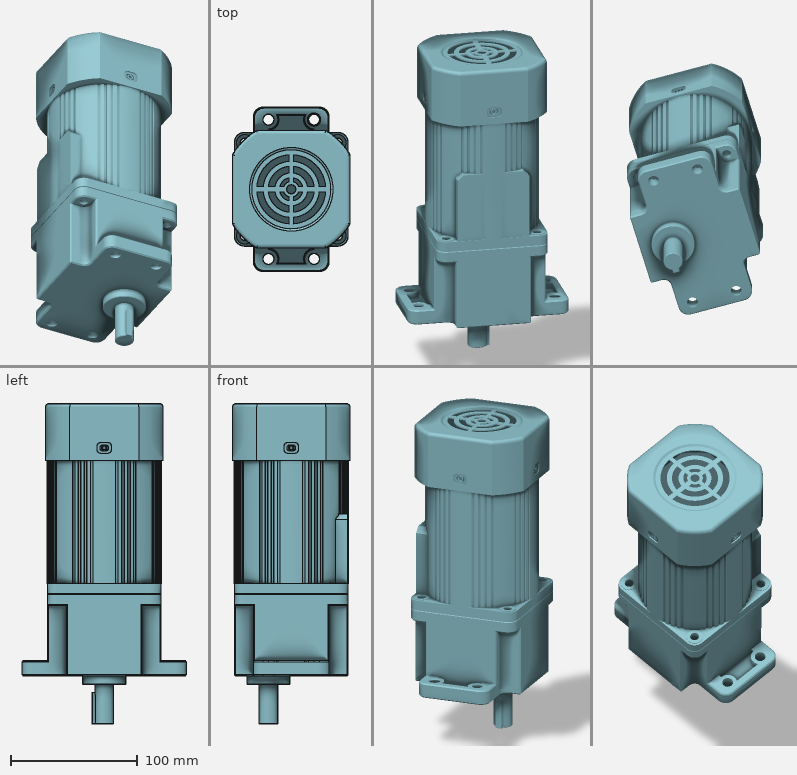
import cadquery as cq
import math

FRAME = 90.0
FRAME_CORNER_RADIUS = 8.2
HOLE_CIRCLE_DIAMETER = 104.0
HOLE_OFFSET = HOLE_CIRCLE_DIAMETER / 2 / math.sqrt(2)
FRAME_HOLE_DIAMETER = 7.0
EDGE_CHAMFER = 1.0
TOLERANCE = 0.01

GEARBOX_HEIGHT = 65.0
GEARBOX_FLANGE_THICKNESS = 9.5
GEARBOX_FLANGE_BOTTOM = GEARBOX_HEIGHT - GEARBOX_FLANGE_THICKNESS
CORE_WIDTH = 60.0
NOTCH_RADIUS = 6.0
SEAM_CHAMFER = 0.7

FOOT_SPAN = 130.0
FOOT_THICKNESS = 12.0
FOOT_CORNER_RADIUS = 8.0
FOOT_HOLE_SPACING_X = 36.0
FOOT_HOLE_SPACING_Y = 110.0
FOOT_HOLE_DIAMETER = 8.5
FOOT_HOLE_CHAMFER = 1.0
POCKET_DEPTH = 6.0
POCKET_OUTER_Y = 59.0
POCKET_PAD_RADIUS = 7.4
POCKET_FLOOR_CHAMFER = 0.9

SHAFT_OFFSET = -18.0
SHAFT_DIAMETER = 15.0
SHAFT_END_Z = -38.0
SHAFT_CHAMFER = 0.5
BOSS_DIAMETER = 34.0
BOSS_HEIGHT = 7.0
KEY_WIDTH = 5.0
KEY_HEIGHT = 5.0
KEY_LENGTH = 25.0
KEY_TOP_Y = 9.5

MOTOR_FLANGE_THICKNESS = 8.0
MOTOR_FLANGE_TOP = GEARBOX_HEIGHT + MOTOR_FLANGE_THICKNESS
MOTOR_TOP = 215.0
COVER_HEIGHT = 45.0
COVER_BOTTOM = MOTOR_TOP - COVER_HEIGHT
MOTOR_RADIUS = 45.2
HOLE_PAD_DIAMETER = 13.0
HOLE_PAD_HEIGHT = 0.5

GROOVE_GROUPS = 8
GROOVES_PER_GROUP = 4
GROOVE_PITCH_ANGLE = 6.5
GROOVE_WIDTH = 2.2
GROOVE_DEPTH = 1.0

TERMINAL_HALF_WIDTH = 28.9
TERMINAL_OUTER_X = 44.5
TERMINAL_TOP = 128.0
TERMINAL_CHAMFER = 4.5

COVER_WIDTH = 93.0
COVER_CORNER_DIAMETER = 107.8
COVER_FILLET = 3.0
GRILLE_RIM_RADIUS = 33.0
GRILLE_FLOOR_RADIUS = 31.2
GRILLE_DEPTH = 1.0
GRILLE_FACE = MOTOR_TOP - GRILLE_DEPTH
GRILLE_THICKNESS = 1.0
COVER_WALL = 4.3
FAN_CAVITY_FLOOR = 181.0
VENT_RINGS = [(22.2, 27.3), (13.0, 18.2), (6.2, 9.2)]
VENT_CENTER_RADIUS = 3.6
SPOKE_WIDTH_Y = 4.2
SPOKE_WIDTH_X = 3.4

SCREW_Z = 180.0
SCREW_RECESS_LENGTH = 11.5
SCREW_RECESS_HEIGHT = 8.5
SCREW_RECESS_CORNER = 3.0
SCREW_RECESS_DEPTH = 1.0
SCREW_SLOT_LENGTH = 7.0
SCREW_SLOT_HEIGHT = 5.0
SCREW_SLOT_DEPTH = 1.5
SCREW_HEAD_DIAMETER = 4.6
SCREW_SOCKET_DIAMETER = 3.2


def frame_plate(bottom, thickness):
    """Square flange with rounded corners and four through holes."""
    return (
        cq.Workplane("XY", origin=(0, 0, bottom))
        .rect(FRAME, FRAME)
        .extrude(thickness)
        .edges("|Z")
        .fillet(FRAME_CORNER_RADIUS)
        .faces(">Z")
        .workplane(origin=(0, 0, bottom + thickness))
        .rect(2 * HOLE_OFFSET, 2 * HOLE_OFFSET, forConstruction=True)
        .vertices()
        .hole(FRAME_HOLE_DIAMETER)
    )


def key_prism():
    """Parallel key lying along Z, with a round inner end and a square end at the shaft tip."""
    key_radius = KEY_WIDTH / 2
    round_center_z = SHAFT_END_Z + KEY_LENGTH - key_radius
    return (
        cq.Workplane("XZ", origin=(SHAFT_OFFSET, KEY_TOP_Y, 0))
        .moveTo(-key_radius, SHAFT_END_Z)
        .lineTo(-key_radius, round_center_z)
        .threePointArc((0, round_center_z + key_radius), (key_radius, round_center_z))
        .lineTo(key_radius, SHAFT_END_Z)
        .close()
        .extrude(KEY_HEIGHT)
    )


def gearbox_core():
    """Cross-shaped lower housing with a foot on each Y side."""
    core = (
        cq.Workplane("XY")
        .rect(FRAME, CORE_WIDTH)
        .extrude(GEARBOX_FLANGE_BOTTOM)
        .union(cq.Workplane("XY").rect(CORE_WIDTH, FRAME).extrude(GEARBOX_FLANGE_BOTTOM))
        .union(
            cq.Workplane("XY")
            .rect(CORE_WIDTH, FOOT_SPAN)
            .extrude(FOOT_THICKNESS)
            .edges("|Z")
            .fillet(FOOT_CORNER_RADIUS)
            .faces(">Z")
            .edges()
            .chamfer(EDGE_CHAMFER)
        )
    )
    half_core = CORE_WIDTH / 2
    for x in (-half_core, half_core):
        for y in (-half_core, half_core):
            notch_corner = cq.NearestToPointSelector((x, y, GEARBOX_FLANGE_BOTTOM / 2))
            core = core.edges(notch_corner).fillet(NOTCH_RADIUS)
    return core


def is_notch_rim(edge):
    """True for the convex edges around a corner notch, on the side faces and under the flange."""
    center = edge.Center()
    far_out = abs(center.x) + abs(center.y) > (FRAME + CORE_WIDTH) / 2 - TOLERANCE
    return far_out and FOOT_THICKNESS + TOLERANCE < center.z < GEARBOX_FLANGE_BOTTOM + TOLERANCE


def is_flange_outline(edge):
    """True for the outer edges of a flange face, not for the rims of its holes."""
    center = edge.Center()
    return max(abs(center.x), abs(center.y)) > HOLE_OFFSET + TOLERANCE


def foot_pocket(side):
    """Pocket in the top of one foot, leaving round pads about the foot holes."""
    pocket_floor = FOOT_THICKNESS - POCKET_DEPTH
    inner_y = FRAME / 2
    pocket = (
        cq.Workplane("XY", origin=(0, side * (inner_y + POCKET_OUTER_Y) / 2, pocket_floor))
        .rect(FOOT_HOLE_SPACING_X, POCKET_OUTER_Y - inner_y)
        .extrude(POCKET_DEPTH)
    )
    pads = (
        cq.Workplane("XY", origin=(0, 0, pocket_floor))
        .pushPoints([(s * FOOT_HOLE_SPACING_X / 2, side * FOOT_HOLE_SPACING_Y / 2) for s in (-1, 1)])
        .circle(POCKET_PAD_RADIUS)
        .extrude(POCKET_DEPTH)
    )
    return pocket.cut(pads).faces("<Z").edges().chamfer(POCKET_FLOOR_CHAMFER)


def make_gearbox():
    """Gearbox housing with its feet, output boss and keyed shaft."""
    body = gearbox_core().faces("<Z").edges().chamfer(EDGE_CHAMFER)
    body = body.union(frame_plate(GEARBOX_FLANGE_BOTTOM, GEARBOX_FLANGE_THICKNESS))
    body = body.edges().filter(is_notch_rim).chamfer(EDGE_CHAMFER)
    body = body.faces(">Z").edges().filter(is_flange_outline).chamfer(SEAM_CHAMFER)
    for side in (-1, 1):
        body = body.cut(foot_pocket(side))
    body = (
        body.faces("<Z")
        .workplane(origin=(0, 0, 0))
        .rect(FOOT_HOLE_SPACING_X, FOOT_HOLE_SPACING_Y, forConstruction=True)
        .vertices()
        .hole(FOOT_HOLE_DIAMETER, FOOT_THICKNESS)
    )
    countersink = cq.Workplane(
        cq.Solid.makeCone(
            FOOT_HOLE_DIAMETER / 2,
            FOOT_HOLE_DIAMETER / 2 + FOOT_HOLE_CHAMFER,
            FOOT_HOLE_CHAMFER,
            cq.Vector(FOOT_HOLE_SPACING_X / 2, FOOT_HOLE_SPACING_Y / 2, FOOT_THICKNESS - FOOT_HOLE_CHAMFER),
        )
    )
    body = body.cut(countersink)
    boss = (
        cq.Workplane("XY", origin=(SHAFT_OFFSET, 0, 0))
        .circle(BOSS_DIAMETER / 2)
        .extrude(-BOSS_HEIGHT)
        .faces("<Z")
        .chamfer(SHAFT_CHAMFER)
    )
    shaft = (
        cq.Workplane("XY", origin=(SHAFT_OFFSET, 0, 0))
        .circle(SHAFT_DIAMETER / 2)
        .extrude(SHAFT_END_Z)
        .faces("<Z")
        .chamfer(SHAFT_CHAMFER)
    )
    return body.union(boss).union(shaft).cut(key_prism())


def groove_cutters():
    """Lengthwise grooves around the motor barrel, in evenly spaced groups."""
    angles = []
    for group in range(GROOVE_GROUPS):
        middle = (group + 0.5) * 360 / GROOVE_GROUPS
        for index in range(GROOVES_PER_GROUP):
            angles.append(middle + (index - (GROOVES_PER_GROUP - 1) / 2) * GROOVE_PITCH_ANGLE)
    cutters = cq.Workplane("XY")
    for angle in angles:
        cutter = (
            cq.Workplane("XY", origin=(0, 0, MOTOR_FLANGE_TOP))
            .center(MOTOR_RADIUS, 0)
            .rect(2 * GROOVE_DEPTH, GROOVE_WIDTH)
            .extrude(COVER_BOTTOM - MOTOR_FLANGE_TOP)
            .rotate((0, 0, 0), (0, 0, 1), angle)
        )
        cutters.add(cutter)
    return cutters.combine()


def terminal_block():
    """Block on the +X side of the barrel, with sloped upper corners."""
    height = TERMINAL_TOP - MOTOR_FLANGE_TOP
    return (
        cq.Workplane("XY", origin=(TERMINAL_OUTER_X / 2, 0, MOTOR_FLANGE_TOP))
        .rect(TERMINAL_OUTER_X, 2 * TERMINAL_HALF_WIDTH)
        .extrude(height)
        .faces(">Z")
        .edges("|X")
        .chamfer(TERMINAL_CHAMFER)
    )


def cover_block(width, corner_diameter, bottom, top):
    """Square block whose vertical corners are cut by a cylinder about the motor axis."""
    base = cq.Workplane("XY", origin=(0, 0, bottom))
    square = base.rect(width, width).extrude(top - bottom)
    return square.intersect(base.circle(corner_diameter / 2).extrude(top - bottom))


def grille_plane():
    """Workplane on the upper face of the grille."""
    return cq.Workplane("XY", origin=(0, 0, GRILLE_FACE))


def cover():
    """Hollow fan cover with rounded corners and a ring grille in its dished top."""
    body = cover_block(COVER_WIDTH, COVER_CORNER_DIAMETER, COVER_BOTTOM, MOTOR_TOP)
    body = body.faces(">Z").edges().fillet(COVER_FILLET)
    cavity = cover_block(
        COVER_WIDTH - 2 * COVER_WALL,
        COVER_CORNER_DIAMETER - 2 * COVER_WALL,
        FAN_CAVITY_FLOOR,
        GRILLE_FACE - GRILLE_THICKNESS,
    )
    dish = (
        grille_plane()
        .circle(GRILLE_FLOOR_RADIUS)
        .workplane(offset=GRILLE_DEPTH)
        .circle(GRILLE_RIM_RADIUS)
        .loft()
    )
    vents = grille_plane().circle(VENT_CENTER_RADIUS).extrude(-GRILLE_THICKNESS)
    spokes = (
        grille_plane()
        .rect(COVER_WIDTH, SPOKE_WIDTH_Y)
        .extrude(-GRILLE_THICKNESS)
        .union(grille_plane().rect(SPOKE_WIDTH_X, COVER_WIDTH).extrude(-GRILLE_THICKNESS))
    )
    for inner, outer in VENT_RINGS:
        ring = grille_plane().circle(outer).circle(inner).extrude(-GRILLE_THICKNESS)
        vents = vents.union(ring.cut(spokes))
    return body.cut(cavity).cut(dish).cut(vents)


def screw_recess():
    """Cutter for one cover screw: a rounded recess and an oblong hole around a socket head."""
    recess = (
        cq.Workplane("XZ", origin=(0, -COVER_WIDTH / 2, SCREW_Z))
        .rect(SCREW_RECESS_LENGTH, SCREW_RECESS_HEIGHT)
        .extrude(-SCREW_RECESS_DEPTH)
        .edges("|Y")
        .fillet(SCREW_RECESS_CORNER)
    )
    floor = cq.Workplane("XZ", origin=(0, SCREW_RECESS_DEPTH - COVER_WIDTH / 2, SCREW_Z))
    oblong = floor.slot2D(SCREW_SLOT_LENGTH, SCREW_SLOT_HEIGHT).extrude(-SCREW_SLOT_DEPTH)
    head = floor.circle(SCREW_HEAD_DIAMETER / 2).extrude(-SCREW_SLOT_DEPTH)
    socket = floor.polygon(6, SCREW_SOCKET_DIAMETER).extrude(-SCREW_SLOT_DEPTH)
    return recess.union(oblong.cut(head)).union(socket)


def make_motor():
    """Motor with its flange, grooved barrel, terminal block and fan cover."""
    barrel = (
        cq.Workplane("XY", origin=(0, 0, MOTOR_FLANGE_TOP))
        .circle(MOTOR_RADIUS)
        .extrude(COVER_BOTTOM - MOTOR_FLANGE_TOP)
        .cut(groove_cutters())
        .union(terminal_block())
    )
    plate = frame_plate(GEARBOX_HEIGHT, MOTOR_FLANGE_THICKNESS)
    pads = (
        cq.Workplane("XY", origin=(0, 0, MOTOR_FLANGE_TOP))
        .rect(2 * HOLE_OFFSET, 2 * HOLE_OFFSET, forConstruction=True)
        .vertices()
        .circle(HOLE_PAD_DIAMETER / 2)
        .circle(FRAME_HOLE_DIAMETER / 2)
        .extrude(HOLE_PAD_HEIGHT)
    )
    motor = plate.union(pads).union(barrel).union(cover())
    for quarter in range(4):
        motor = motor.cut(screw_recess().rotate((0, 0, 0), (0, 0, 1), 90 * quarter))
    return motor


gearbox = make_gearbox()
key = key_prism()
motor = make_motor()

result = cq.Compound.makeCompound([gearbox.val(), motor.val(), key.val()])